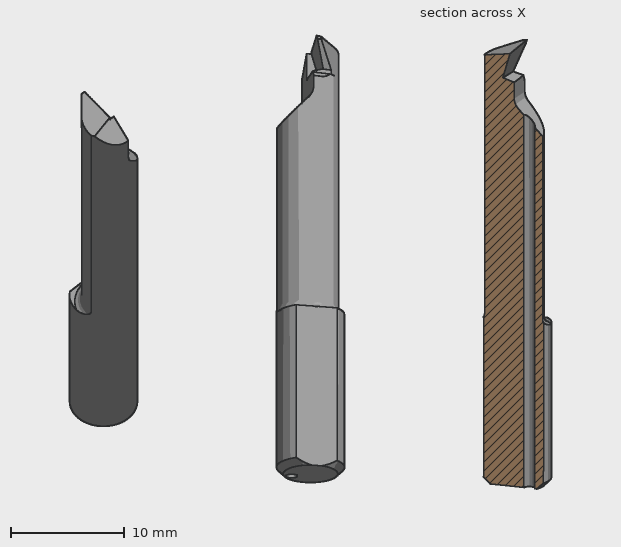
import cadquery as cq
import math

total_length = 40.0
shank_radius = 3.0
flat_x = -2.35
shoulder_z = 14.8
base_chamfer = 0.6

neck_radius = 2.75
neck_x = 1.15
root_height = 0.85
root_width = 0.6
root_radius = (root_height**2 + root_width**2) / (2 * root_width)

flute_y = 0.1
flute_corner_z = 35.0
flute_blend_radius = 1.35

head_base_z = 36.9
relief_bevel = 0.4
relief_x = -1.35
side_slope = 0.42
side_clearance = 0.13
edge_land = 0.3
top_slope_x = 0.11
top_slope_y = 0.14
back_chamfer_height = 2.3

pocket_end_x = 1.2
pocket_front_z = 36.95
pocket_back_z = 37.3
pocket_depth = 0.8
pocket_front_y = 0.4
pocket_skew = 0.2
pocket_turn = math.degrees(math.atan2(pocket_skew, pocket_end_x - flat_x))

coolant_diameter = 1.0
coolant_x = 0.95
coolant_y = 1.5

cutter_size = 2.5 * total_length
overshoot = 0.4


def half_space(point, normal):
    """Large block on the normal side of a plane."""
    plane = cq.Plane(origin=point, normal=normal)
    return cq.Workplane(plane).rect(cutter_size, cutter_size).extrude(cutter_size)


def make_shank():
    """Full-length round bar with a chamfered base and one side flat."""
    bar = cq.Workplane("XY").circle(shank_radius).extrude(total_length)
    bar = bar.faces("<Z").chamfer(base_chamfer)
    return bar.cut(half_space((flat_x, 0, total_length / 2), (-1, 0, 0)))


def make_neck_clearance():
    """Ring of material around the eccentric neck, with a concave root above the shoulder."""
    outer = 3 * shank_radius
    return (
        cq.Workplane("XZ", origin=(neck_x, 0, 0))
        .moveTo(neck_radius, total_length)
        .lineTo(neck_radius, shoulder_z + root_height)
        .radiusArc((neck_radius + root_width, shoulder_z), -root_radius)
        .lineTo(outer, shoulder_z)
        .lineTo(outer, total_length)
        .close()
        .revolve(360, (0, 0, 0), (0, 1, 0))
    )


def make_head():
    """Cutting lip whose 45 degree flank is tangent to the neck."""
    tangent_offset = neck_radius * math.sqrt(0.5)
    tangent_x = neck_x - tangent_offset
    flank_corner_y = -tangent_offset + (tangent_x - flat_x)
    return (
        cq.Workplane("XY", origin=(0, 0, head_base_z))
        .moveTo(neck_x, flute_y)
        .lineTo(flat_x, flute_y)
        .lineTo(flat_x, flank_corner_y)
        .lineTo(tangent_x, -tangent_offset)
        .lineTo(neck_x, 0)
        .close()
        .extrude(total_length - head_base_z)
    )


def make_side_relief():
    """Space left of the lip: a land at the tip, a slanted side and a bevel down to the neck."""
    slope_top_z = total_length - edge_land
    slope_bottom_z = slope_top_z - (relief_x - flat_x) / side_slope
    outer = -2 * shank_radius
    neck_left = neck_x - neck_radius
    profile = [
        (outer, slope_top_z),
        (flat_x, slope_top_z),
        (relief_x, slope_bottom_z),
        (relief_x, head_base_z),
        (neck_left, head_base_z - relief_bevel),
        (outer, head_base_z - relief_bevel),
    ]
    relief = cq.Workplane("XZ", origin=(0, flute_y, 0)).polyline(profile).close().extrude(shank_radius)
    lean = math.degrees(math.atan(side_clearance))
    return relief.rotate((flat_x, flute_y, 0), (flat_x, flute_y, 1), lean)


def make_flute():
    """Open space behind the head, running out at 45 degrees through a rounded corner."""
    far = 2 * shank_radius
    profile = [
        (flute_y, total_length + overshoot),
        (flute_y, flute_corner_z),
        (far, flute_corner_z - (far - flute_y)),
        (far, total_length + overshoot),
    ]
    flute = cq.Workplane("YZ", origin=(-far, 0, 0)).polyline(profile).close().extrude(2 * far)
    corner = cq.selectors.NearestToPointSelector((0, flute_y, flute_corner_z))
    return flute.edges(corner).fillet(flute_blend_radius)


def make_chip_pocket():
    """Triangular groove in the flute face, undercutting the cutting edge."""
    length = pocket_end_x - 2 * flat_x
    profile = [
        (pocket_front_y, total_length),
        (0, total_length),
        (-pocket_depth, pocket_back_z),
        (pocket_front_y, pocket_front_z),
    ]
    pocket = cq.Workplane("YZ", origin=(2 * flat_x, 0, 0)).polyline(profile).close().extrude(length)
    return pocket.rotate((flat_x, 0, 0), (flat_x, 0, 1), -pocket_turn)


top_waste = half_space((flat_x, 0, total_length), (top_slope_x, -top_slope_y, 1))
back_waste = half_space((shank_radius, 0, total_length - back_chamfer_height), (1, 0, 1))
coolant_hole = (
    cq.Workplane("XY").center(coolant_x, coolant_y).circle(coolant_diameter / 2).extrude(total_length)
)

result = make_shank().cut(make_neck_clearance()).union(make_head())
result = result.cut(make_side_relief()).cut(make_flute()).cut(make_chip_pocket())
result = result.cut(top_waste).cut(back_waste).cut(coolant_hole)